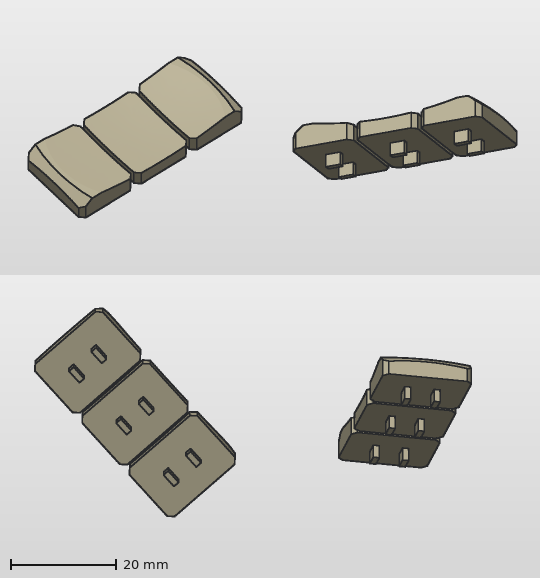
import cadquery as cq
import math

row_length = 39.75
overall_height = 7.05
cap_width = 17.25
cap_depth = 12.75
corner_chamfer = 1.0
cap_pitch = (row_length - cap_depth) / 2

leg_width = 1.2
leg_depth = 3.0
leg_height = 2.5
leg_spacing = 5.7

end_cap_height = overall_height - leg_height

dish_radius = 75.0
end_rim_radius = 17.37
middle_rim_radius = 9.98
dish_center_height = end_cap_height + math.sqrt(dish_radius**2 - end_rim_radius**2)
middle_cap_height = dish_center_height - math.sqrt(dish_radius**2 - middle_rim_radius**2)

bevel_top_radius = 37.75
bevel_depth = 1.55
bevel_drop = 1.27


def cap_block(height):
    """Plain cap with chamfered vertical corners, centred on the Z axis."""
    block = cq.Workplane("XY").box(cap_width, cap_depth, height, centered=(True, True, False))
    return block.edges("|Z").chamfer(corner_chamfer)


def legs():
    """Pair of rectangular legs below the underside."""
    return (
        cq.Workplane("XY")
        .pushPoints([(-leg_spacing / 2, 0), (leg_spacing / 2, 0)])
        .rect(leg_width, leg_depth)
        .extrude(-leg_height)
    )


def dish():
    """Ball whose lower side shapes the finger dish across the whole row."""
    return cq.Workplane("XY").sphere(dish_radius).translate((0, 0, dish_center_height))


def bevel_envelope():
    """Upright cone that keeps the end cap inside its sloping +Y bevel."""
    base_radius = bevel_top_radius + end_cap_height * bevel_depth / bevel_drop
    axis_y = cap_depth / 2 - bevel_depth - bevel_top_radius
    cone = cq.Solid.makeCone(base_radius, bevel_top_radius, end_cap_height)
    return cq.Workplane(cone.translate(cq.Vector(0, axis_y, 0)))


def middle_cap():
    return cap_block(middle_cap_height).cut(dish()).union(legs())


def end_cap():
    """End cap on the +Y side of the row."""
    beveled = cap_block(end_cap_height).intersect(bevel_envelope())
    return beveled.union(legs()).translate((0, cap_pitch, 0)).cut(dish())


middle = middle_cap()
end_caps = [end_cap().rotate((0, 0, 0), (0, 0, 1), angle) for angle in (0, 180)]

result = cq.Compound.makeCompound([middle.val(), *[cap.val() for cap in end_caps]])